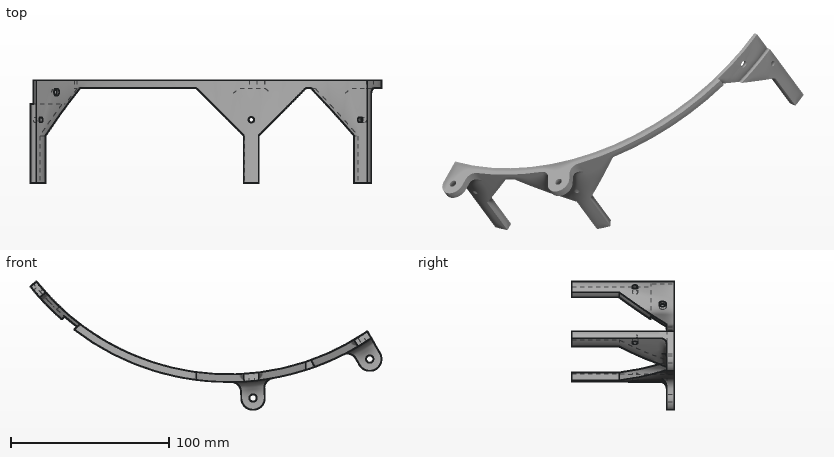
import cadquery as cq
import math

INNER_RADIUS = 155
THICKNESS = 5
OUTER_RADIUS = INNER_RADIUS + THICKNESS
DEPTH = 65
RAIL_WIDTH = 5
RAIL_FRONT = DEPTH - RAIL_WIDTH

LEFT_ANGLE = -50
MIDDLE_ANGLE = 2.5
RIGHT_ANGLE = 30
LEFT_WIDTH = 9
MIDDLE_WIDTH = 9.4
RIGHT_WIDTH = 10
LEFT_OFFSET = 0.3
MIDDLE_OFFSET = 7.5
RIGHT_OFFSET = 7
GUSSET_START = 30
GUSSET_RUN = RAIL_FRONT - GUSSET_START
LEFT_GUSSET_RUN = 29.5
LEG_HOLE_DIAMETER = 3.4
LEG_HOLE_Y = 40
RIGHT_HOLE_OFFSET = 6.5

TAB_RADIUS = 7.5
TAB_HOLE_DIAMETER = 4.5
TAB_HOLE_DROP = 10.55
TAB_HOLE_RADIUS = OUTER_RADIUS + TAB_HOLE_DROP
TAB_SIDE_FILLET = 6
TAB_FRONT_FILLET = 4
TAB_ROOT = INNER_RADIUS + THICKNESS / 2
MIDDLE_TAB_OFFSET = 8
RIGHT_TAB_OFFSET = RIGHT_OFFSET + RIGHT_WIDTH / 2 - TAB_RADIUS

RECESS_ANGLE = -44.5
RECESS_WIDTH = 15
RECESS_RADIUS = OUTER_RADIUS - THICKNESS / 2
RECESS_REACH = 19.2
RECESS_OVERRUN = 30
RECESS_HOLE_DIAMETER = 4.5

CLEARANCE = 10
PRISM_START = INNER_RADIUS - 4 * CLEARANCE
PRISM_LENGTH = OUTER_RADIUS + CLEARANCE - PRISM_START


def radial_plane(angle, radius):
    """Plane facing outward; local x runs along the band, local y along -Y."""
    a = math.radians(angle)
    return cq.Plane(
        origin=(radius * math.sin(a), 0, -radius * math.cos(a)),
        xDir=(math.cos(a), 0, math.sin(a)),
        normal=(math.sin(a), 0, -math.cos(a)),
    )


def profile_plane(angle, y):
    """Plane square to Y; local x runs along the band, local y points outward."""
    a = math.radians(angle)
    return cq.Plane(origin=(0, y, 0), xDir=(math.cos(a), 0, math.sin(a)), normal=(0, 1, 0))


def ring(inner, outer, y_start, y_end):
    plane = cq.Workplane("XZ", origin=(0, y_end, 0))
    return plane.circle(outer).circle(inner).extrude(y_end - y_start)


def leg(angle, offset, width, left_run, right_run):
    """Prism of one leg with its gussets; a zero run leaves that side straight."""
    left = offset - width / 2
    right = offset + width / 2
    outline = [(left, -GUSSET_START), (left, 0), (right, 0), (right, -GUSSET_START)]
    if right_run:
        outline.append((right + right_run, -RAIL_FRONT))
    outline.append((right + right_run, -DEPTH))
    outline.append((left - left_run, -DEPTH))
    if left_run:
        outline.append((left - left_run, -RAIL_FRONT))
    return cq.Workplane(radial_plane(angle, PRISM_START)).polyline(outline).close().extrude(PRISM_LENGTH)


def rail():
    """Sector between the middles of the two end legs."""
    far = 2 * OUTER_RADIUS
    start = math.radians(LEFT_ANGLE)
    end = math.radians(RIGHT_ANGLE) + math.asin(RIGHT_OFFSET / OUTER_RADIUS)
    corners = [(far * math.sin(a), -far * math.cos(a)) for a in (start, end)]
    plane = cq.Workplane("XZ", origin=(0, DEPTH, 0))
    return plane.polyline([(0, 0)] + corners).close().extrude(RAIL_WIDTH)


def radial_hole(angle, offset, y, diameter):
    plane = cq.Workplane(radial_plane(angle, PRISM_START))
    return plane.center(offset, -y).circle(diameter / 2).extrude(PRISM_LENGTH)


def band():
    prisms = (
        rail()
        .union(leg(LEFT_ANGLE, LEFT_OFFSET, LEFT_WIDTH, 0, LEFT_GUSSET_RUN))
        .union(leg(MIDDLE_ANGLE, MIDDLE_OFFSET, MIDDLE_WIDTH, GUSSET_RUN, GUSSET_RUN))
        .union(leg(RIGHT_ANGLE, RIGHT_OFFSET, RIGHT_WIDTH, GUSSET_RUN, 0))
    )
    return ring(INNER_RADIUS, OUTER_RADIUS, 0, DEPTH).intersect(prisms)


def flare(side, direction):
    """Start, middle and end of the fillet arc from the underside to a tab side."""
    center = cq.Vector(
        side + direction * TAB_SIDE_FILLET,
        math.sqrt((OUTER_RADIUS + TAB_SIDE_FILLET) ** 2 - (side + direction * TAB_SIDE_FILLET) ** 2),
    )
    to_band = center.normalized() * -TAB_SIDE_FILLET
    to_side = cq.Vector(-direction * TAB_SIDE_FILLET, 0)
    to_middle = (to_band + to_side).normalized() * TAB_SIDE_FILLET
    return [(center + reach).toTuple()[:2] for reach in (to_band, to_middle, to_side)]


def tab_outline(angle, offset, flared_right):
    """Rounded tab as a prism, flared where its sides run into the band's underside."""
    left = offset - TAB_RADIUS
    right = offset + TAB_RADIUS
    start, middle, end = flare(left, -1)
    outline = (
        cq.Workplane(profile_plane(angle, RAIL_FRONT - TAB_FRONT_FILLET))
        .moveTo(left, TAB_ROOT)
        .lineTo(*start)
        .threePointArc(middle, end)
        .lineTo(left, TAB_HOLE_RADIUS)
        .threePointArc((offset, TAB_HOLE_RADIUS + TAB_RADIUS), (right, TAB_HOLE_RADIUS))
    )
    if flared_right:
        start, middle, end = flare(right, 1)
        outline = outline.lineTo(*end).threePointArc(middle, start)
    return outline.lineTo(right, TAB_ROOT).close().extrude(RAIL_WIDTH + TAB_FRONT_FILLET)


def tab_section():
    """Ring whose section is the tab thickness with the front fillet to the band."""
    fillet_start = RAIL_FRONT - TAB_FRONT_FILLET
    fillet_end = OUTER_RADIUS + TAB_FRONT_FILLET
    sag = TAB_FRONT_FILLET * (1 - math.sqrt(0.5))
    tip = TAB_HOLE_RADIUS + TAB_RADIUS + CLEARANCE
    return (
        cq.Workplane("XY")
        .moveTo(TAB_ROOT - CLEARANCE, fillet_start)
        .lineTo(OUTER_RADIUS, fillet_start)
        .threePointArc((OUTER_RADIUS + sag, RAIL_FRONT - sag), (fillet_end, RAIL_FRONT))
        .lineTo(tip, RAIL_FRONT)
        .lineTo(tip, DEPTH)
        .lineTo(TAB_ROOT - CLEARANCE, DEPTH)
        .close()
        .revolve(360, (0, 0, 0), (0, 1, 0))
    )


def tab(angle, offset, flared_right):
    return tab_outline(angle, offset, flared_right).intersect(tab_section())


def tab_hole(angle, offset):
    plane = cq.Workplane(profile_plane(angle, RAIL_FRONT))
    return plane.center(offset, TAB_HOLE_RADIUS).circle(TAB_HOLE_DIAMETER / 2).extrude(RAIL_WIDTH)


def recess():
    """Shallow cut in the underside of the left end, behind the leg."""
    step = ring(RECESS_RADIUS, OUTER_RADIUS + CLEARANCE, DEPTH - RECESS_WIDTH, DEPTH)
    block = (
        cq.Workplane(radial_plane(RECESS_ANGLE, PRISM_START))
        .center((RECESS_REACH - RECESS_OVERRUN) / 2, -DEPTH + RECESS_WIDTH / 2)
        .rect(RECESS_REACH + RECESS_OVERRUN, RECESS_WIDTH)
        .extrude(PRISM_LENGTH)
    )
    return step.intersect(block)


LEG_HOLES = (
    (LEFT_ANGLE, LEFT_OFFSET),
    (MIDDLE_ANGLE, MIDDLE_OFFSET),
    (RIGHT_ANGLE, RIGHT_HOLE_OFFSET),
)

result = (
    band()
    .union(tab(MIDDLE_ANGLE, MIDDLE_TAB_OFFSET, flared_right=True))
    .union(tab(RIGHT_ANGLE, RIGHT_TAB_OFFSET, flared_right=False))
    .cut(tab_hole(MIDDLE_ANGLE, MIDDLE_TAB_OFFSET))
    .cut(tab_hole(RIGHT_ANGLE, RIGHT_TAB_OFFSET))
)
for leg_angle, leg_offset in LEG_HOLES:
    result = result.cut(radial_hole(leg_angle, leg_offset, LEG_HOLE_Y, LEG_HOLE_DIAMETER))
result = result.cut(recess())
result = result.cut(radial_hole(RECESS_ANGLE, 0, DEPTH - RECESS_WIDTH / 2, RECESS_HOLE_DIAMETER))